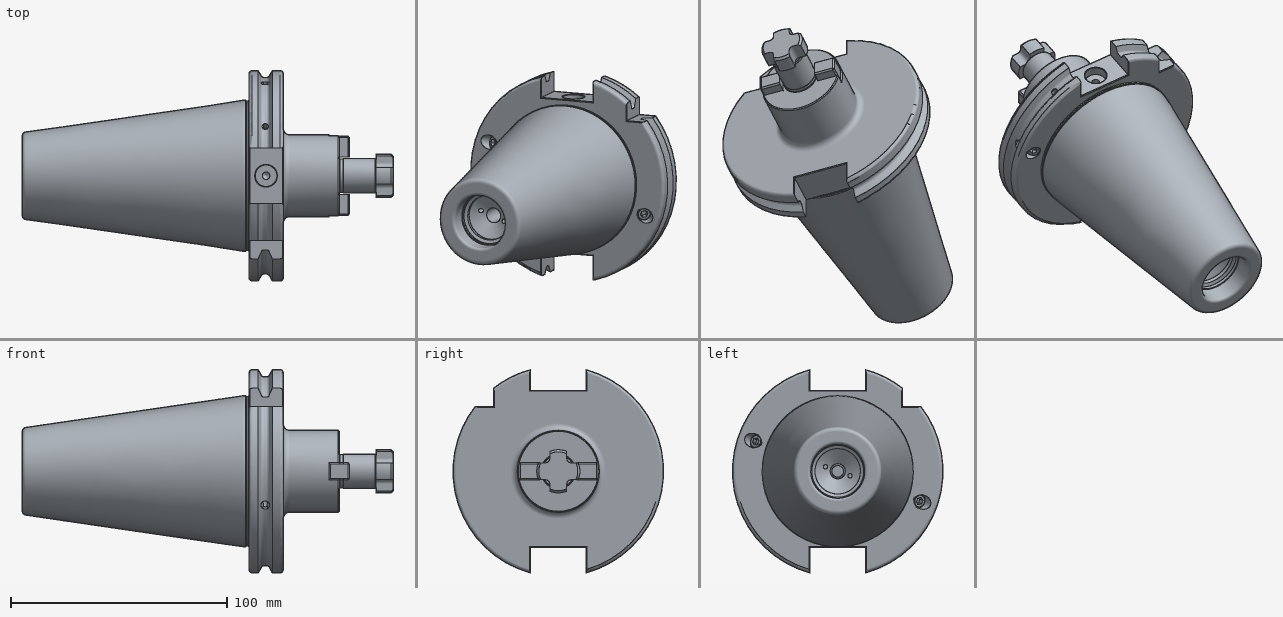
import cadquery as cq
import math


tolerance = 1e-3

gauge_radius = 69.85 / 2
taper_length = 101.75
taper_half_slope = 7 / 48
taper_run_out = 0.5
rear_rounding = 2.0
rear_radius = gauge_radius - taper_length * taper_half_slope
front_radius = gauge_radius + taper_run_out * taper_half_slope
rear_x = -taper_length

relief_start = 1.6
relief_ramp = 0.5
relief_depth = 0.3

flange_radius = 97.5 / 2
flange_start = 3.2
flange_end = 19.1
rim_rounding = 1.5
groove_center = 10.75
groove_root_radius = 45.6
groove_root_width = 2.9
groove_flank_angle = 30.0
groove_root_rounding = 1.1
groove_depth = flange_radius - groove_root_radius
groove_mouth_half = groove_root_width / 2 + groove_depth * math.tan(math.radians(groove_flank_angle))

slot_width = 25.7
top_slot_floor = 37.5
bottom_slot_floor = 35.3
notch_y = -30.0
notch_z = 30.0
slot_edge_chamfer = 0.4

nose_radius = 19.0
nose_end = 45.0
nose_root_rounding = 3.0
nose_chamfer = 0.5
pilot_radius = 8.0
pilot_length = 17.0
pilot_end = nose_end + pilot_length
pilot_chamfer = 0.5
undercut_length = 2.0
undercut_depth = 0.2
undercut_ramp = 0.3

bore_radius = 12.5
bore_mouth_rounding = 1.4
bore_depth = 8.7
counterbore_radius = 12.0
counterbore_depth = 10.2
thread_radius = 10.5
thread_chamfer = 0.8
thread_depth = 12.8
drill_point_angle = 118.0
screw_hole_radius = 3.5

coolant_angle = 20.0
coolant_radius = 1.0
coolant_offset = 6.05
coolant_length = 25.0

plug_radius = 3.25
plug_tilt = 35.0
plug_mouth_offset = 41.7
plug_recess = 2.3
plug_length = 6.0
plug_chamfer = 0.5
plug_socket_width = 3.0
plug_socket_depth = 2.5

groove_hole_radius = 2.0
groove_hole_depth = 3.0
marker_hole_radius = 1.5
marker_hole_depth = 4.0
marker_angle = 60.0

chip_radius = 5.0
chip_depth = 4.6
chip_chamfer = 0.25
chip_x = 11.1
chip_vent_radius = 1.75
chip_vent_depth = 3.0

key_width = 8.0
key_length = 9.5
key_seat_depth = 4.8
key_outer = 18.3
key_inner = 8.6
key_chamfer = 0.7

screw_head_radius = 10.0
screw_head_length = 8.0
screw_arm_half = 3.9
screw_corner_radius = 2.1
screw_head_chamfer = 1.0
screw_tip_chamfer = 0.8
screw_shank_length = 30.0
head_end = pilot_end + screw_head_length


def drill_tip(radius):
    """Height of the conical bottom that a drill of this radius leaves."""
    return radius / math.tan(math.radians(drill_point_angle / 2))


def drilled_hole(plane, radius, depth):
    """Tool for a blind hole that runs along the plane's normal and ends in a drill point."""
    profile = (
        cq.Workplane("XZ")
        .lineTo(radius, 0)
        .lineTo(radius, depth)
        .lineTo(0, depth + drill_tip(radius))
        .close()
    )
    tool = profile.revolve(360, (0, 0, 0), (0, 1, 0)).val()
    return cq.Workplane(tool.moved(cq.Location(plane)))


def radial_plane(x, radius, angle):
    """Plane that faces the spindle axis; the angle is measured from +Y toward +Z."""
    y = math.cos(math.radians(angle))
    z = math.sin(math.radians(angle))
    return cq.Plane((x, radius * y, radius * z), xDir=(1, 0, 0), normal=(0, -y, -z))


def turned(points):
    """Solid of revolution about the X axis from (x, radius) points."""
    return cq.Workplane("XZ").polyline(points).close().revolve(360, (0, 0, 0), (1, 0, 0))


def ring_edges(body, x, radius):
    """Circular edges of a turned body at one place along X and one radius."""
    found = []
    for edge in body.edges("%CIRCLE").vals():
        if abs(edge.Center().x - x) < tolerance and abs(edge.radius() - radius) < tolerance:
            found.append(edge)
    return body.newObject(found)


def shank_and_flange():
    relief_radius = front_radius - relief_depth
    body = turned([
        (rear_x, 0),
        (rear_x, rear_radius),
        (taper_run_out, front_radius),
        (relief_start, front_radius),
        (relief_start + relief_ramp, relief_radius),
        (flange_start - relief_ramp, relief_radius),
        (flange_start, front_radius),
        (flange_start, flange_radius),
        (groove_center - groove_mouth_half, flange_radius),
        (groove_center - groove_root_width / 2, groove_root_radius),
        (groove_center + groove_root_width / 2, groove_root_radius),
        (groove_center + groove_mouth_half, flange_radius),
        (flange_end, flange_radius),
        (flange_end, nose_radius),
        (nose_end, nose_radius),
        (nose_end, pilot_radius),
        (nose_end + undercut_ramp, pilot_radius - undercut_depth),
        (nose_end + undercut_length - undercut_ramp, pilot_radius - undercut_depth),
        (nose_end + undercut_length, pilot_radius),
        (pilot_end, pilot_radius),
        (pilot_end, 0),
    ])
    body = ring_edges(body, rear_x, rear_radius).fillet(rear_rounding)
    for x in (flange_start, flange_end):
        body = ring_edges(body, x, flange_radius).fillet(rim_rounding)
    for side in (-1, 1):
        body = ring_edges(
            body, groove_center + side * groove_root_width / 2, groove_root_radius
        ).fillet(groove_root_rounding)
    body = ring_edges(body, flange_end, nose_radius).fillet(nose_root_rounding)
    body = ring_edges(body, nose_end, nose_radius).chamfer(nose_chamfer)
    return ring_edges(body, pilot_end, pilot_radius).chamfer(pilot_chamfer)


def rear_bore():
    thread_end = rear_x + thread_depth
    return turned([
        (rear_x, 0),
        (rear_x, bore_radius),
        (rear_x + bore_depth, bore_radius),
        (rear_x + bore_depth, counterbore_radius),
        (rear_x + counterbore_depth, counterbore_radius),
        (rear_x + counterbore_depth + thread_chamfer, thread_radius),
        (thread_end, thread_radius),
        (thread_end + drill_tip(thread_radius), 0),
    ])


def slot_cutter(y_from, y_to, z_from, z_to):
    """Box across the flange, flared where it leaves the two flange faces to chamfer the edges there."""
    width = flange_end - flange_start
    size_y = y_to - y_from
    size_z = z_to - z_from
    middle_y = (y_from + y_to) / 2
    middle_z = (z_from + z_to) / 2
    cutter = cq.Workplane("YZ", origin=(flange_start, middle_y, middle_z)).rect(size_y, size_z).extrude(width)
    for x, inward in ((flange_start, 1), (flange_end, -1)):
        plane = cq.Plane((x, middle_y, middle_z), xDir=(0, 1, 0), normal=(inward, 0, 0))
        flare = cq.Workplane(plane).rect(size_y + 2 * slot_edge_chamfer, size_z + 2 * slot_edge_chamfer)
        cutter = cutter.union(flare.extrude(slot_edge_chamfer, taper=45))
    return cutter


def cut_slots(body):
    half = slot_width / 2
    body = body.cut(slot_cutter(-half, half, top_slot_floor, flange_radius))
    body = body.cut(slot_cutter(-half, half, -flange_radius, -bottom_slot_floor))
    return body.cut(slot_cutter(-flange_radius, notch_y, notch_z, flange_radius))


def plug_plane(angle, recess):
    """Plane across an inclined flange hole, its normal pointing into the flange."""
    tilt = math.radians(plug_tilt)
    y = math.cos(math.radians(angle))
    z = math.sin(math.radians(angle))
    x = flange_start + recess * math.cos(tilt)
    radius = plug_mouth_offset - recess * math.sin(tilt)
    normal = (math.cos(tilt), -math.sin(tilt) * y, -math.sin(tilt) * z)
    return cq.Plane((x, radius * y, radius * z), xDir=(0, -z, y), normal=normal)


def plug_hole(angle):
    lead = plug_radius * math.tan(math.radians(plug_tilt))
    length = lead + plug_recess + plug_length
    return cq.Workplane(plug_plane(angle, -lead)).circle(plug_radius).extrude(length)


def make_plug(angle):
    body = cq.Workplane(plug_plane(angle, plug_recess)).circle(plug_radius).extrude(plug_length)
    body = body.faces("<X").edges().chamfer(plug_chamfer)
    socket_diameter = plug_socket_width / math.cos(math.pi / 6)
    socket = cq.Workplane(plug_plane(angle, plug_recess)).polygon(6, socket_diameter)
    return body.cut(socket.extrude(plug_socket_depth))


def coolant_hole(angle):
    y = coolant_offset * math.cos(math.radians(angle))
    z = coolant_offset * math.sin(math.radians(angle))
    start = rear_x + thread_depth
    return cq.Workplane("YZ", origin=(start, y, z)).circle(coolant_radius).extrude(coolant_length)


def chip_pocket():
    def downward_plane(z):
        return cq.Plane((chip_x, 0, z), xDir=(1, 0, 0), normal=(0, 0, -1))

    mouth_plane = downward_plane(top_slot_floor)
    pocket = cq.Workplane(mouth_plane).circle(chip_radius).extrude(chip_depth)
    mouth = cq.Workplane(mouth_plane).circle(chip_radius + chip_chamfer).extrude(chip_chamfer, taper=45)
    vent_plane = downward_plane(top_slot_floor - chip_depth)
    return pocket.union(mouth).union(drilled_hole(vent_plane, chip_vent_radius, chip_vent_depth))


def key_block(side):
    """Plain block of a drive key; the side is -1 or +1 along Y."""
    center_x = nose_end - key_seat_depth + key_length / 2
    center_y = side * (key_inner + key_outer) / 2
    return cq.Workplane("XY", origin=(center_x, center_y, 0)).box(
        key_length, key_outer - key_inner, key_width
    )


def key_seat(side):
    """Open seat for a key; it runs out through the side of the nose."""
    length = nose_radius - key_inner
    center = (nose_end - key_seat_depth / 2, side * (key_inner + length / 2), 0)
    return cq.Workplane("XY", origin=center).box(key_seat_depth, length, key_width)


def make_key(side):
    body = key_block(side)
    outer_face = body.faces(">Y" if side > 0 else "<Y")
    return outer_face.edges().add(body.faces(">X").edges("|Y")).chamfer(key_chamfer)


def make_screw():
    shank_start = pilot_end - screw_shank_length
    shank = cq.Workplane("YZ", origin=(shank_start, 0, 0)).circle(screw_hole_radius)
    shank = shank.extrude(screw_shank_length).faces("<X").edges().chamfer(screw_tip_chamfer)
    head_plane = cq.Workplane("YZ", origin=(pilot_end, 0, 0))
    arm_width = 2 * screw_arm_half
    arm_length = 2 * screw_head_radius
    cross = head_plane.rect(arm_width, arm_length).extrude(screw_head_length)
    cross = cross.union(head_plane.rect(arm_length, arm_width).extrude(screw_head_length))
    inner_corners = cq.selectors.BoxSelector(
        (pilot_end, -screw_arm_half - 1, -screw_arm_half - 1),
        (head_end, screw_arm_half + 1, screw_arm_half + 1),
    )
    cross = cross.edges("|X").edges(inner_corners).fillet(screw_corner_radius)
    envelope = head_plane.circle(screw_head_radius).extrude(screw_head_length)
    envelope = envelope.faces(">X").edges().chamfer(screw_head_chamfer)
    return shank.union(cross.intersect(envelope))


def make_holder():
    body = shank_and_flange().cut(rear_bore())
    body = body.cut(cq.Workplane("YZ", origin=(rear_x + bore_depth, 0, 0))
                    .circle(screw_hole_radius).extrude(pilot_end - rear_x))
    body = ring_edges(body, rear_x, bore_radius).fillet(bore_mouth_rounding)
    body = cut_slots(body)
    body = body.cut(chip_pocket())
    for side in (-1, 1):
        body = body.cut(key_seat(side))
    for angle in plug_angles:
        body = body.cut(plug_hole(angle))
        body = body.cut(coolant_hole(angle))
        plane = radial_plane(groove_center, groove_root_radius, angle)
        body = body.cut(drilled_hole(plane, groove_hole_radius, groove_hole_depth))
    marker_plane = radial_plane(groove_center, groove_root_radius, marker_angle)
    return body.cut(drilled_hole(marker_plane, marker_hole_radius, marker_hole_depth))


plug_angles = (coolant_angle, coolant_angle + 180)
holder = make_holder()
screw = make_screw()
keys = [make_key(side) for side in (-1, 1)]
plugs = [make_plug(angle) for angle in plug_angles]

result = cq.Compound.makeCompound([
    holder.val(),
    screw.val(),
    *[key.val() for key in keys],
    *[plug.val() for plug in plugs],
])